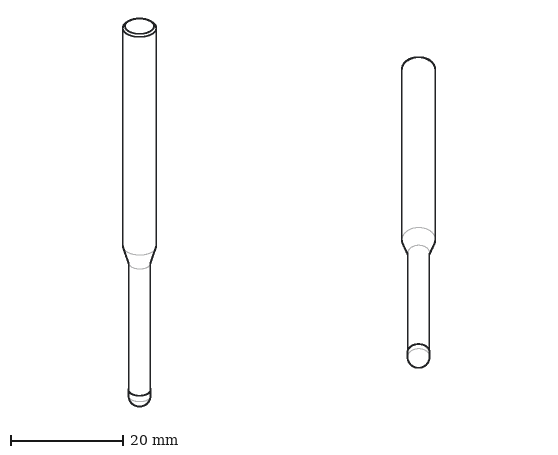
import cadquery as cq

total_length = 80.0
shank_diameter = 6.0
shank_radius = shank_diameter / 2
end_chamfer = 0.4

neck_diameter = 3.9
neck_radius = neck_diameter / 2
neck_top = 30.0
cone_top = 33.6

tip_radius = 2.0
tip_top = 3.2


def make_shank():
    """Chamfered shank, cone and neck, turned as one solid above the tip."""
    return (
        cq.Workplane("XZ")
        .moveTo(0, tip_top)
        .lineTo(neck_radius, tip_top)
        .lineTo(neck_radius, neck_top)
        .lineTo(shank_radius, cone_top)
        .lineTo(shank_radius, total_length - end_chamfer)
        .lineTo(shank_radius - end_chamfer, total_length)
        .lineTo(0, total_length)
        .close()
        .revolve(360, (0, 0, 0), (0, 1, 0))
    )


def make_tip():
    """Short cylinder with a hemispherical nose, butted against the neck."""
    return (
        cq.Workplane("XZ")
        .moveTo(0, 0)
        .radiusArc((tip_radius, tip_radius), -tip_radius)
        .lineTo(tip_radius, tip_top)
        .lineTo(0, tip_top)
        .close()
        .revolve(360, (0, 0, 0), (0, 1, 0))
    )


shank = make_shank()
tip = make_tip()

result = cq.Compound.makeCompound([shank.val(), tip.val()])